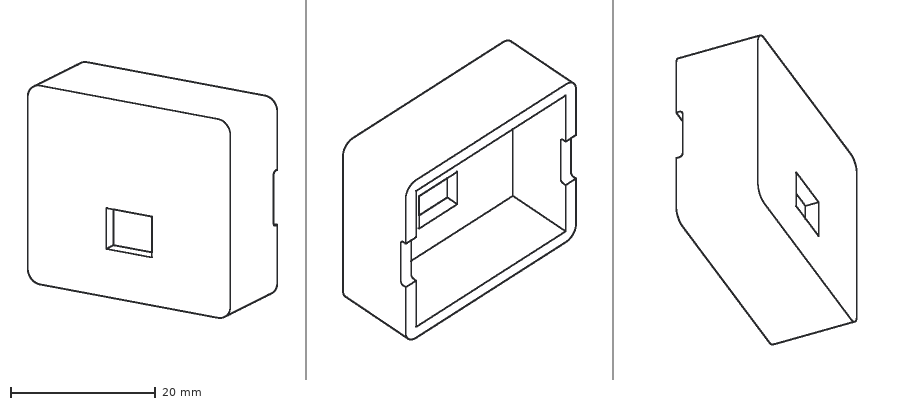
import cadquery as cq

width = 33.0
depth = 12.5
height = 29.0
wall = 2.0
corner_radius = wall

window_width = 7.42
window_height = 5.95
window_center_z = -4.52

notch_height = 8.0
notch_depth = 1.0
notch_radius = 0.5

front_y = -depth / 2
back_y = depth / 2


def make_shell():
    """Box with its four corners along Y rounded, hollowed from the back."""
    body = cq.Workplane("XY").box(width, depth, height).edges("|Y").fillet(corner_radius)
    cavity = cq.Workplane("XY").box(width - 2 * wall, depth, height - 2 * wall)
    return body.cut(cavity.translate((0, wall, 0)))


def make_window():
    """Cutter for the window, centred on the face plate thickness."""
    cutter = cq.Workplane("XY").box(window_width, 2 * wall, window_height)
    return cutter.translate((0, front_y + wall / 2, window_center_z))


def make_notch():
    """Cutter for the rim notch, with rounded inner corners."""
    cutter = cq.Workplane("XY").box(width, 2 * notch_depth, notch_height)
    return cutter.edges("|X and <Y").fillet(notch_radius).translate((0, back_y, 0))


result = make_shell().cut(make_window()).cut(make_notch())